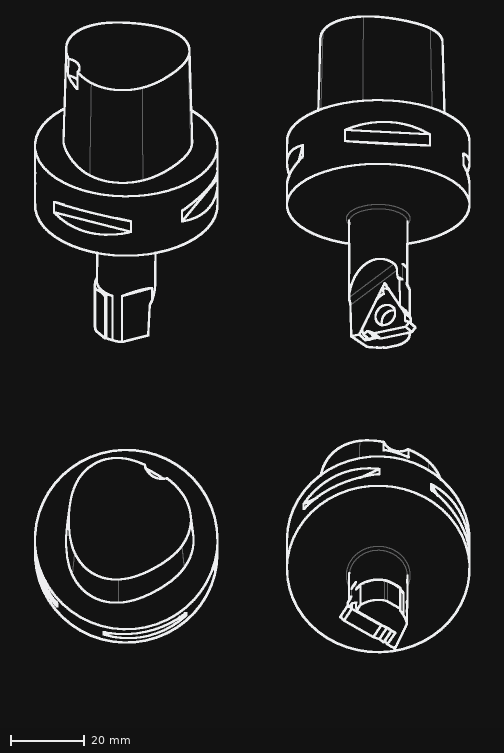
import cadquery as cq
import math

FLANGE_DIAMETER = 50.0
FLANGE_HEIGHT = 19.5
CONE_END_RADIUS = 8.7
CONE_END_Z = -23.8
SHANK_RADIUS = 16.0 / 2
NECK_FILLET_DROP = 1.0
NECK_FILLET_MIDDLE = 0.3

TAPER_LENGTH = 30.0
TAPER_RADIUS = 17.5
TAPER_SLOPE = 1 / 40
LOBE_HEIGHT = 1.0
LOBE_HALF_ANGLE = 24.6
FACE_STEPS = 8
KEY_DEPTH = 5.5
KEY_RADIUS = 4.8
KEY_AXIS_Y = -18.7

GRIP_DISTANCE = 22.1
GRIP_Z = -10.0
GRIP_FLOOR_WIDTH = 3.4
GRIP_WALL_ANGLE = 30

HEAD_RADIUS = 8.6
HEAD_TOP_Z = -44.6
HEAD_STEP = 1.0
HEAD_BOTTOM_Z = -59.4
HEAD_ARC_END_X = -1.0
FRONT_FLAT_START_X = -0.2
FRONT_FLAT_END_X = 3.9
FRONT_FLAT_DISTANCE = 8.3
CORNER_FACET_START_Y = -7.2
CORNER_FACET_END = (5.3, -6.0)
HEAD_BOTTOM_TILT = 1.2

HEAD_TURN = 13.6
SIDE_FLAT_DISTANCE = 7.9
SIDE_FLAT_TOP_Z = -39.8
BACK_FLAT_TURN = 6
BACK_FLAT_DISTANCE = 6.6
BACK_FLAT_TOP_Z = -42.75

RAKE_TILT = 2.8
RAKE_DISTANCE = 2.8
INSERT_OFFSET = 3.4
INSERT_BOTTOM_Z = -60.0
INSERT_INRADIUS = 4.8
INSERT_THICKNESS = 4.05
INSERT_HOLE_DIAMETER = 5.9

GULLET_SLOPE = 28
GULLET_WALL_ANGLE = 40
GULLET_FILLET = 2.25
GULLET_CORNER_Z = -41.0

CORNER_RELIEF = 5.85
TOOTH_ROOT = -2.9
TOOTH_TIP = (7.2, -3.6)
TOOTH_HEEL = 6.0

SHANK_END_Z = -63
CONE_MARGIN = 4.5
FAR = 54


def turned(angle, along, across, z=0):
    """Point at distances along and across a horizontal direction turned from +X."""
    a = math.radians(angle)
    return cq.Vector(
        along * math.cos(a) - across * math.sin(a),
        along * math.sin(a) + across * math.cos(a),
        z,
    )


tilt = math.radians(RAKE_TILT)
rake_normal = turned(HEAD_TURN, 0, math.cos(tilt), -math.sin(tilt))
insert_centre = turned(HEAD_TURN, -INSERT_OFFSET, RAKE_DISTANCE, INSERT_BOTTOM_Z + INSERT_INRADIUS)
rake_plane = cq.Plane(origin=insert_centre, xDir=turned(HEAD_TURN, -1, 0), normal=rake_normal)


def taper_outline(z):
    radius = TAPER_RADIUS - TAPER_SLOPE * z

    def point(angle):
        a = math.radians(angle)
        r = radius - LOBE_HEIGHT * math.sin(3 * a)
        return cq.Vector(r * math.cos(a), r * math.sin(a), z)

    edges = []
    for lobe in (90, 210, 330):
        limits = (lobe - LOBE_HALF_ANGLE, lobe + LOBE_HALF_ANGLE, lobe + 120 - LOBE_HALF_ANGLE)
        for start, end in zip(limits, limits[1:]):
            points = [point(start + (end - start) * i / FACE_STEPS) for i in range(FACE_STEPS + 1)]
            edges.append(cq.Edge.makeSpline(points))
    return cq.Wire.assembleEdges(edges)


def make_taper():
    taper = cq.Solid.makeLoft([taper_outline(0), taper_outline(TAPER_LENGTH)], True)
    key_slot = (
        cq.Workplane("XY", origin=(0, KEY_AXIS_Y, TAPER_LENGTH - KEY_DEPTH))
        .circle(KEY_RADIUS)
        .extrude(FAR)
    )
    return cq.Workplane(obj=taper).cut(key_slot)


def make_flange_and_shank():
    flange_radius = FLANGE_DIAMETER / 2
    fillet_end = CONE_END_Z - NECK_FILLET_DROP
    fillet_middle = (
        SHANK_RADIUS + NECK_FILLET_MIDDLE * (CONE_END_RADIUS - SHANK_RADIUS),
        CONE_END_Z - NECK_FILLET_MIDDLE * NECK_FILLET_DROP,
    )
    return (
        cq.Workplane("XZ")
        .lineTo(flange_radius, 0)
        .lineTo(flange_radius, -FLANGE_HEIGHT)
        .lineTo(CONE_END_RADIUS, CONE_END_Z)
        .threePointArc(fillet_middle, (SHANK_RADIUS, fillet_end))
        .lineTo(SHANK_RADIUS, SHANK_END_Z)
        .lineTo(0, SHANK_END_Z)
        .close()
        .revolve(360, (0, 0), (0, 1))
    )


def grip_groove(angle):
    """Trapezoidal groove across the flange rim, opening outwards."""
    half_floor = GRIP_FLOOR_WIDTH / 2
    depth = FLANGE_DIAMETER / 2
    half_mouth = half_floor + depth * math.tan(math.radians(GRIP_WALL_ANGLE))
    return (
        cq.Workplane("XZ", origin=(0, 0, GRIP_Z))
        .moveTo(GRIP_DISTANCE, -half_floor)
        .lineTo(GRIP_DISTANCE + depth, -half_mouth)
        .lineTo(GRIP_DISTANCE + depth, half_mouth)
        .lineTo(GRIP_DISTANCE, half_floor)
        .close()
        .extrude(FAR, both=True)
        .rotate((0, 0, 0), (0, 0, 1), angle)
    )


def circle_point(radius, x):
    """Point on the -Y half of a circle about the Z axis."""
    return (x, -math.sqrt(radius**2 - x**2))


def front_flat_point(x):
    """Point on the front flat, which is square to the side flat."""
    turn = math.radians(HEAD_TURN)
    return (x, (x * math.sin(turn) - FRONT_FLAT_DISTANCE) / math.cos(turn))


def make_head_lobe():
    """Swelling of the head on the tip side, below a conical step, with a flat in front."""
    lobe_start = turned(HEAD_TURN + 180, 0, -HEAD_RADIUS)
    lobe_middle = turned(HEAD_TURN + 180, HEAD_RADIUS, 0)
    prism = (
        cq.Workplane("XY", origin=(0, 0, SHANK_END_Z))
        .lineTo(lobe_start.x, lobe_start.y)
        .threePointArc((lobe_middle.x, lobe_middle.y), circle_point(HEAD_RADIUS, HEAD_ARC_END_X))
        .lineTo(*front_flat_point(FRONT_FLAT_START_X))
        .lineTo(*front_flat_point(FRONT_FLAT_END_X))
        .lineTo(FRONT_FLAT_END_X, CORNER_FACET_START_Y)
        .lineTo(*CORNER_FACET_END)
        .close()
        .extrude(FAR)
    )
    apex_z = HEAD_TOP_Z + HEAD_STEP * SHANK_RADIUS / (HEAD_RADIUS - SHANK_RADIUS)
    cone = (
        cq.Workplane("XZ")
        .moveTo(0, apex_z)
        .lineTo(HEAD_RADIUS, HEAD_TOP_Z - HEAD_STEP)
        .lineTo(HEAD_RADIUS + CONE_MARGIN, HEAD_TOP_Z - HEAD_STEP)
        .lineTo(HEAD_RADIUS + CONE_MARGIN, SHANK_END_Z - CONE_MARGIN)
        .lineTo(0, SHANK_END_Z - CONE_MARGIN)
        .close()
        .revolve(360, (0, 0), (0, 1))
    )
    return prism.intersect(cone)


def bottom_relief():
    """Everything below the slightly tilted bottom of the head."""
    return (
        cq.Workplane("XY", origin=(0, 0, HEAD_BOTTOM_Z - FAR))
        .box(FAR, FAR, FAR, centered=(True, True, False))
        .rotate((0, 0, HEAD_BOTTOM_Z), (1, 0, HEAD_BOTTOM_Z), -HEAD_BOTTOM_TILT)
    )


def side_flat():
    """Flat behind the cutting tip, square at its upper end."""
    return (
        cq.Workplane("XZ", origin=(0, 0, SIDE_FLAT_TOP_Z))
        .moveTo(-SIDE_FLAT_DISTANCE, 0)
        .lineTo(-FAR, 0)
        .lineTo(-FAR, -FAR)
        .lineTo(-SIDE_FLAT_DISTANCE, -FAR)
        .close()
        .extrude(FAR, both=True)
        .rotate((0, 0, 0), (0, 0, 1), HEAD_TURN)
    )


def back_flat():
    """Flat opposite the cutting tip, running out at 45 degrees."""
    rise = FAR - BACK_FLAT_DISTANCE
    floor_top = BACK_FLAT_TOP_Z - (SHANK_RADIUS - BACK_FLAT_DISTANCE)
    return (
        cq.Workplane("XZ")
        .moveTo(BACK_FLAT_DISTANCE, floor_top)
        .lineTo(FAR, floor_top + rise)
        .lineTo(FAR, -2 * FAR)
        .lineTo(BACK_FLAT_DISTANCE, -2 * FAR)
        .close()
        .extrude(FAR, both=True)
        .rotate((0, 0, 0), (0, 0, 1), BACK_FLAT_TURN)
    )


def chip_gullet():
    """Clears the rake face; its filleted wall falls away from the cutting tip."""
    slope = math.radians(GULLET_SLOPE)
    wall = math.radians(GULLET_WALL_ANGLE)
    corner = rake_plane.toWorldCoords(
        (SIDE_FLAT_DISTANCE - INSERT_OFFSET, GULLET_CORNER_Z - insert_centre.z)
    )
    run = -rake_plane.xDir * math.cos(slope) - rake_plane.yDir * math.sin(slope)
    section = cq.Plane(origin=corner, xDir=rake_normal, normal=run)
    wall_end = (FAR * math.cos(wall), FAR * math.sin(wall))
    blank = (
        cq.Workplane(section)
        .lineTo(*wall_end)
        .lineTo(FAR, -FAR)
        .lineTo(0, -FAR)
        .close()
        .extrude(FAR, both=True)
    )
    return blank.edges(cq.selectors.NearestToPointSelector(corner.toTuple())).fillet(GULLET_FILLET)


def insert_pocket():
    circumradius = 2 * INSERT_INRADIUS
    corners = [
        (circumradius * math.cos(math.radians(a)), circumradius * math.sin(math.radians(a)))
        for a in (90, 210, 330)
    ]
    return cq.Workplane(rake_plane).polyline(corners).close().extrude(-INSERT_THICKNESS)


def make_holder():
    holder = make_flange_and_shank().union(make_head_lobe())
    for cutter in (bottom_relief(), back_flat(), side_flat(), chip_gullet(), insert_pocket()):
        holder = holder.cut(cutter)
    for angle in (45, 135, 225, 315):
        holder = holder.cut(grip_groove(angle))
    return holder.union(make_taper())


def make_insert():
    """Triangular threading insert with the same tooth at each of its three corners."""
    relief_top = 2 * INSERT_INRADIUS - math.sqrt(3) * CORNER_RELIEF
    corner = [
        (CORNER_RELIEF, relief_top),
        (CORNER_RELIEF, TOOTH_ROOT),
        TOOTH_TIP,
        (TOOTH_HEEL, -INSERT_INRADIUS),
    ]
    outline = []
    for turn in (0, 120, 240):
        a = math.radians(-turn)
        for u, v in corner:
            outline.append((u * math.cos(a) - v * math.sin(a), u * math.sin(a) + v * math.cos(a)))
    return (
        cq.Workplane(rake_plane)
        .polyline(outline)
        .close()
        .circle(INSERT_HOLE_DIAMETER / 2)
        .extrude(-INSERT_THICKNESS)
    )


holder = make_holder()
insert = make_insert()

result = cq.Compound.makeCompound([holder.val(), insert.val()])